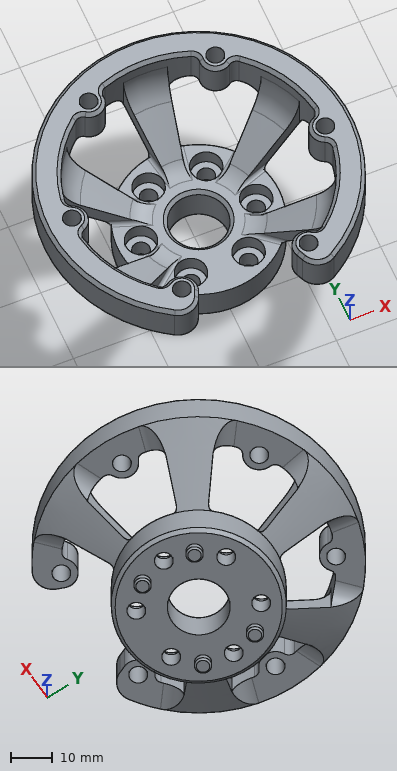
import cadquery as cq
import math

pitch_angle = 60

ring_radius = 40.0
ring_height = 10.0
lug_circle_radius = 66.0 / 2
ring_inner_radius = lug_circle_radius
lug_radius = 4.0
lug_blend_radius = 2.0
end_round_radius = 10.0 / 2
lug_angles = [pitch_angle * i for i in range(-1, 5)]

hub_radius = 42.0 / 2
hub_height = 10.0
bore_diameter = 15.0
hub_circle_radius = 30.0 / 2
counterbore_diameter = 8.0
counterbore_depth = 4.5
hub_hole_angles = [pitch_angle * i for i in range(6)]
pin_diameter = 4.2
pin_length = 2.0
pin_chamfer = 0.5
pin_angles = [30, 150, 210, 330]

screw_hole_diameter = 4.5
edge_chamfer = 1.0

spoke_rise = 12.0
spoke_root_radius = 28.0 / 2
spoke_half_angle = 10.0
spoke_bend_radius = 10.0
spoke_angles = [pitch_angle * (i - 0.5) for i in range(5)]
gusset_radius = 10.0 / 2
root_blend_radius = 1.0
embed = 0.8

ring_bottom = hub_height + spoke_rise
ring_top = ring_bottom + ring_height
beyond = ring_radius + 0.8


def polar(radius, angle):
    """Point at a radius and an angle in degrees."""
    return radius * math.cos(math.radians(angle)), radius * math.sin(math.radians(angle))


def toward(start, end, distance):
    """Point at a distance from start along the line to end."""
    share = distance / math.dist(start, end)
    return tuple(a + (b - a) * share for a, b in zip(start, end))


def at_angles(radius, angles):
    """Workplane with a point at each angle on a circle about Z."""
    return cq.Workplane("XY").pushPoints([polar(radius, a) for a in angles])


def make_ring():
    """C-shaped rim with lugs, drawn as one outline and drilled through every lug."""
    blend_centre_radius = ring_inner_radius - lug_blend_radius
    reach = lug_radius + lug_blend_radius
    blend_angle = math.degrees(math.acos(
        (lug_circle_radius**2 + blend_centre_radius**2 - reach**2)
        / (2 * lug_circle_radius * blend_centre_radius)))

    face_offset = math.degrees(math.asin(lug_radius / lug_circle_radius))
    face_start_radius = math.sqrt(lug_circle_radius**2 - lug_radius**2)
    round_centre_radius = ring_radius - end_round_radius
    face_end_radius = math.sqrt(round_centre_radius**2 - end_round_radius**2)
    first_face = lug_angles[0] - face_offset
    last_face = lug_angles[-1] + face_offset
    round_offset = math.degrees(math.asin(end_round_radius / round_centre_radius))

    def end_round_middle(face_angle, round_angle):
        centre = polar(round_centre_radius, round_angle)
        corner = polar(ring_radius, face_angle)
        return toward(centre, corner, end_round_radius)

    def blend_middle(lug_angle, side):
        centre = polar(blend_centre_radius, lug_angle + side * blend_angle)
        corner = polar(ring_inner_radius, lug_angle + side * face_offset)
        return toward(centre, corner, lug_blend_radius)

    def blend_on_lug(lug_angle, side):
        centre = polar(blend_centre_radius, lug_angle + side * blend_angle)
        return toward(polar(lug_circle_radius, lug_angle), centre, lug_radius)

    first_round = first_face + round_offset
    last_round = last_face - round_offset
    middle_angle = (first_face + last_face) / 2
    lug_tip_radius = lug_circle_radius - lug_radius

    outline = (
        cq.Workplane("XY").workplane(offset=ring_bottom)
        .moveTo(*polar(face_end_radius, first_face))
        .threePointArc(end_round_middle(first_face, first_round), polar(ring_radius, first_round))
        .threePointArc(polar(ring_radius, middle_angle), polar(ring_radius, last_round))
        .threePointArc(end_round_middle(last_face, last_round), polar(face_end_radius, last_face))
        .lineTo(*polar(face_start_radius, last_face))
    )
    for lug_angle in reversed(lug_angles):
        if lug_angle != lug_angles[-1]:
            wall_angle = lug_angle + blend_angle
            outline = (
                outline
                .threePointArc(polar(ring_inner_radius, lug_angle + pitch_angle / 2),
                               polar(ring_inner_radius, wall_angle))
                .threePointArc(blend_middle(lug_angle, 1), blend_on_lug(lug_angle, 1))
            )
        lug_tip = polar(lug_tip_radius, lug_angle)
        if lug_angle == lug_angles[0]:
            outline = outline.threePointArc(lug_tip, polar(face_start_radius, first_face))
        else:
            outline = (
                outline
                .threePointArc(lug_tip, blend_on_lug(lug_angle, -1))
                .threePointArc(blend_middle(lug_angle, -1),
                               polar(ring_inner_radius, lug_angle - blend_angle))
            )
    ring = outline.close().extrude(ring_height).faces(">Z").chamfer(edge_chamfer)
    holes = at_angles(lug_circle_radius, lug_angles).circle(screw_hole_diameter / 2)
    return ring.cut(holes.extrude(ring_top))


def sector(inner_radius, outer_radius, start_angle, end_angle, bottom, top):
    """Flat ring segment between two radii, angles and heights."""
    middle = (start_angle + end_angle) / 2
    return (
        cq.Workplane("XY").workplane(offset=bottom)
        .moveTo(*polar(inner_radius, start_angle))
        .lineTo(*polar(outer_radius, start_angle))
        .threePointArc(polar(outer_radius, middle), polar(outer_radius, end_angle))
        .lineTo(*polar(inner_radius, end_angle))
        .threePointArc(polar(inner_radius, middle), polar(inner_radius, start_angle))
        .close().extrude(top - bottom)
    )


def make_web():
    """Full conical web whose inner side bends into the hub top and the ring wall."""
    slope = math.atan2(spoke_rise, ring_inner_radius - spoke_root_radius)
    root_setback = spoke_bend_radius * math.tan(slope / 2)
    wall_setback = spoke_bend_radius * math.tan(math.pi / 4 - slope / 2)
    root_corner = (spoke_root_radius, hub_height)
    wall_corner = (ring_inner_radius, ring_bottom)

    bend_start_radius = spoke_root_radius - root_setback
    wall_bend_top = ring_bottom + wall_setback
    root_centre = (bend_start_radius, hub_height + spoke_bend_radius)
    wall_centre = (ring_inner_radius - spoke_bend_radius, wall_bend_top)
    return (
        cq.Workplane("XZ")
        .moveTo(hub_radius, hub_height)
        .lineTo(hub_radius - embed, hub_height - embed)
        .lineTo(bend_start_radius - embed, hub_height - embed)
        .lineTo(bend_start_radius - embed, hub_height)
        .lineTo(bend_start_radius, hub_height)
        .threePointArc(toward(root_centre, root_corner, spoke_bend_radius),
                       toward(root_corner, wall_corner, root_setback))
        .lineTo(*toward(wall_corner, root_corner, wall_setback))
        .threePointArc(toward(wall_centre, wall_corner, spoke_bend_radius),
                       (ring_inner_radius, wall_bend_top))
        .lineTo(ring_inner_radius, wall_bend_top + embed)
        .lineTo(ring_inner_radius + embed, wall_bend_top + embed)
        .lineTo(ring_radius - embed, ring_bottom + embed)
        .lineTo(ring_radius, ring_bottom)
        .close().revolve(360, (0, 0, 0), (0, 1, 0))
    )


def make_spoke():
    """One wedge of the web along +X, widened by blends where it meets the ring and the hub."""
    web = make_web()
    wedge_inner = 6.4
    window_inner = 24.0
    blend_half_angle = 20.0
    next_wall = pitch_angle - spoke_half_angle
    middle = hub_height + spoke_rise / 2

    wedge = sector(wedge_inner, beyond, -spoke_half_angle, spoke_half_angle,
                   hub_height - embed, ring_top)
    gusset = sector(ring_inner_radius, beyond, -blend_half_angle, blend_half_angle,
                    middle, ring_bottom + embed)
    root = sector(wedge_inner, beyond, -blend_half_angle, blend_half_angle,
                  hub_height - embed, hub_height + root_blend_radius)

    upper = sector(window_inner, beyond, spoke_half_angle, next_wall, middle, ring_bottom)
    upper = upper.faces(">Z").edges("%LINE").fillet(gusset_radius)
    lower = sector(wedge_inner, beyond, spoke_half_angle, next_wall, hub_height, middle)
    lower = lower.faces("<Z").edges("%LINE").fillet(root_blend_radius)
    gusset = web.intersect(gusset).cut(upper).cut(upper.mirror("XZ"))
    root = web.intersect(root).cut(lower).cut(lower.mirror("XZ"))
    return web.intersect(wedge).union(gusset).union(root)


def make_hub():
    """Disc with a chamfered bore on top and locating pins below."""
    hub = cq.Workplane("XY").circle(hub_radius).extrude(hub_height)
    hub = hub.faces("<Z").edges().chamfer(edge_chamfer)
    bore = cq.Workplane("XY").circle(bore_diameter / 2).extrude(hub_height)
    hub = hub.cut(bore)
    hub = hub.faces(">Z").edges(cq.selectors.RadiusNthSelector(0)).chamfer(edge_chamfer)
    pins = at_angles(hub_circle_radius, pin_angles).circle(pin_diameter / 2).extrude(-pin_length)
    return hub.union(pins.faces("<Z").chamfer(pin_chamfer))


def make_hub_holes():
    """Screw holes through the hub, counterbored from its top."""
    centres = at_angles(hub_circle_radius, hub_hole_angles)
    through = centres.circle(screw_hole_diameter / 2).extrude(hub_height)
    counterbores = centres.circle(counterbore_diameter / 2).extrude(counterbore_depth)
    counterbores = counterbores.translate((0, 0, hub_height - counterbore_depth))
    return through.union(counterbores)


spoke = make_spoke()
result = make_hub().union(make_ring())
for spoke_angle in spoke_angles:
    result = result.union(spoke.rotate((0, 0, 0), (0, 0, 1), spoke_angle))
result = result.cut(make_hub_holes())